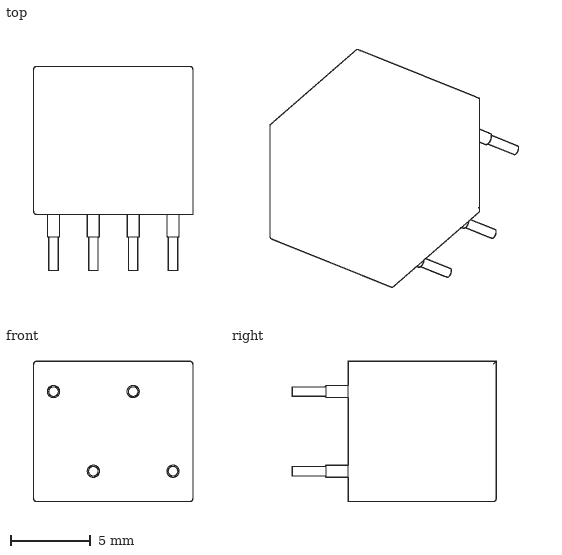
import cadquery as cq

width = 10.0
depth = 9.29
height = 8.8
edge_radius = 0.2

total_depth = 12.8
collar_diameter = 0.77
collar_length = 1.4
pin_diameter = 0.6
pin_length = total_depth - depth
root_radius = 0.08

pin_pitch = 2.5
upper_row_z = 2.5
lower_row_z = upper_row_z - 2 * pin_pitch
pin_positions = [
    (-1.5 * pin_pitch, upper_row_z),
    (-0.5 * pin_pitch, lower_row_z),
    (0.5 * pin_pitch, upper_row_z),
    (1.5 * pin_pitch, lower_row_z),
]


def make_block():
    """Block with its pin face at Y = 0, rounded at both ends and along the lower back edge."""
    block = cq.Workplane("XY").box(width, depth, height).translate((0, depth / 2, 0))
    left_edges = block.faces("<X").edges()
    right_edges = block.faces(">X").edges("not <Y")
    lower_back_edge = block.edges(">Y and <Z")
    return left_edges.add(right_edges).add(lower_back_edge).fillet(edge_radius)


def make_pin(x, z):
    """Collar and thinner pin pointing to -Y, blended by a small concave root."""
    collar_radius = collar_diameter / 2
    pin_radius = pin_diameter / 2
    profile = (
        cq.Workplane("XY")
        .lineTo(collar_radius, 0)
        .lineTo(collar_radius, -collar_length)
        .lineTo(pin_radius + root_radius, -collar_length)
        .radiusArc((pin_radius, -collar_length - root_radius), -root_radius)
        .lineTo(pin_radius, -pin_length)
        .lineTo(0, -pin_length)
        .close()
    )
    return profile.revolve(360, (0, 0, 0), (0, 1, 0)).translate((x, 0, z))


result = make_block()
for pin_x, pin_z in pin_positions:
    result = result.union(make_pin(pin_x, pin_z))